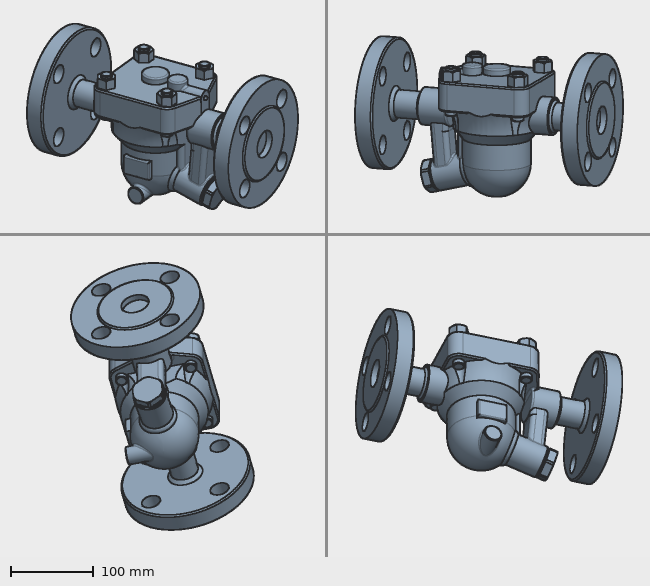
import cadquery as cq
import math

FACE_TO_FACE = 290.0
HALF_LENGTH = FACE_TO_FACE / 2
BODY_X = -10.0

FLANGE_RADIUS = 80.0
FLANGE_BACK_X = 121.0
FLANGE_CHAMFER = 2.0
RAISED_FACE_HEIGHT = 2.0
RAISED_FACE_RADIUS = 45.3
BORE_DIAMETER = 34.0
BORE_DEPTH = 8.0
BOLT_CIRCLE_DIAMETER = 120.0
BOLT_HOLE_DIAMETER = 23.0
HUB_LENGTH = 4.5

PIPE_RADIUS = 17.0
PORT_RADIUS = 23.0
PORT_END_X = 84.0
WELD_LENGTH = 3.0
PORT_SHOULDER_RADIUS = 20.0
PORT_CHAMFER = 0.7
OUTLET_INNER_X = 47.5
OUTLET_RIM_RADIUS = 2.3
OUTLET_PLATE_FILLET = 3.0

STUD_HALF_SPACING = 43.0
PLATE_CORNER_RADIUS = 14.8
PLATE_TIP_X = 60.5
PLATE_TIP_HALF_WIDTH = 9.0
PLATE_BOTTOM_Z = 8.0
PLATE_TOP_Z = 44.7
PLATE_CHAMFER = 2.0

STUD_DIAMETER = 14.0
STUD_TOP_Z = 61.0
STUD_BOTTOM_Z = 1.3
STUD_CHAMFER = 1.0
NUT_ACROSS_FLATS = 21.0
NUT_HEIGHT = 12.7
NUT_CHAMFER = 1.2
STUD_POCKET_RADIUS = 8.5

BOWL_RADIUS = 41.5
BOWL_CENTRE_Z = -63.0
CONE_BOTTOM_Z = -32.3
NECK_BOTTOM_Z = -18.5
NECK_BOTTOM_RADIUS = 53.0
NECK_MIDDLE_Z = -5.0
NECK_MIDDLE_RADIUS = 54.3
NECK_TOP_Z = 10.5
NECK_TOP_RADIUS = 59.8
RIB_FACE_X = 36.6
RIB_HALF_WIDTH = 14.0
RIB_CORNER_RADIUS = 6.0
RIB_FOOT_FILLET = 2.0

PAD_WIDTH = 36.0
PAD_HEIGHT = 24.0
PAD_CENTRE_Z = -54.5
PAD_FACE_Y = -44.3
PAD_EDGE_RADIUS = 1.5

DRAIN_RADIUS = 11.0
DRAIN_Z = -91.0
DRAIN_FACE_Y = -46.0
DRAIN_CHAMFER = 1.0
DRAIN_FILLET = 2.5

SOCKET_SLOPE = 15.0
SOCKET_RADIUS = 20.0
SOCKET_LENGTH = 80.5
SOCKET_CHAMFER = 1.5
SOCKET_BLEND_RADIUS = 7.0
GASKET_RADIUS = 17.5
PLUG_START = 82.0
PLUG_END = 92.6
PLUG_ACROSS_FLATS = 36.0
PLUG_TRIM_RADIUS = 20.0
PLUG_CHAMFER = 1.0

DUCT_SLOPE = 5.0
DUCT_WIDTH = 22.0
DUCT_DEPTH = 33.0
DUCT_CORNER_RADIUS = 6.0
DUCT_BOTTOM_X = 55.0
DUCT_BOTTOM_Z = -75.0
DUCT_LENGTH = 65.0
DUCT_BEND_Z = -26.0
DUCT_FILLET = 2.0
SOCKET_CREST_Z = -56.0

COVER_BOSS_X = 21.5
COVER_BOSS_RADIUS = 12.0
BOSS_TOP_Z = 56.2
BOSS_EDGE_RADIUS = 2.0
ARM_RADIUS = 9.5
ARM_AXIS_Z = 39.9
ARM_TIP_RADIUS = 2.9
ARM_FILLET = 3.0

CAP_RADIUS = 16.5
CAP_BOTTOM_Z = 47.4
CAP_EDGE_RADIUS = 2.0

INSIDE = 1.0


def pipe_end():
    """Flange, hub, pipe and port on the +X side, as one revolved solid about X."""
    face_x = HALF_LENGTH - RAISED_FACE_HEIGHT
    weld_x = PORT_END_X + WELD_LENGTH
    profile = [
        (OUTLET_INNER_X, 0),
        (OUTLET_INNER_X, PORT_RADIUS),
        (PORT_END_X - PORT_CHAMFER, PORT_RADIUS),
        (PORT_END_X, PORT_RADIUS - PORT_CHAMFER),
        (PORT_END_X, PORT_SHOULDER_RADIUS),
        (weld_x, PIPE_RADIUS),
        (FLANGE_BACK_X - HUB_LENGTH, PIPE_RADIUS),
        (FLANGE_BACK_X, PIPE_RADIUS + HUB_LENGTH),
        (FLANGE_BACK_X, FLANGE_RADIUS - FLANGE_CHAMFER),
        (FLANGE_BACK_X + FLANGE_CHAMFER, FLANGE_RADIUS),
        (face_x, FLANGE_RADIUS),
        (face_x, RAISED_FACE_RADIUS + RAISED_FACE_HEIGHT),
        (HALF_LENGTH, RAISED_FACE_RADIUS),
        (HALF_LENGTH, 0),
    ]
    end = cq.Workplane("XY").polyline(profile).close().revolve(360, (0, 0, 0), (1, 0, 0))
    end = end.faces("<X").edges().fillet(OUTLET_RIM_RADIUS)
    bore = (
        cq.Workplane("YZ", origin=(HALF_LENGTH, 0, 0))
        .circle(BORE_DIAMETER / 2)
        .extrude(-BORE_DEPTH)
    )
    bolt_spacing = BOLT_CIRCLE_DIAMETER / math.sqrt(2)
    bolt_holes = (
        cq.Workplane("YZ", origin=(FLANGE_BACK_X - INSIDE, 0, 0))
        .rect(bolt_spacing, bolt_spacing, forConstruction=True)
        .vertices()
        .circle(BOLT_HOLE_DIAMETER / 2)
        .extrude(HALF_LENGTH - FLANGE_BACK_X)
    )
    return end.cut(bore).cut(bolt_holes)


def plate():
    """Cover and body flange: rounded square whose +X side tapers to a narrow tip."""
    r = PLATE_CORNER_RADIUS
    half = STUD_HALF_SPACING
    side_y = half + r
    left_x = BODY_X - half - r
    corner_x = BODY_X + half
    to_tip_x = PLATE_TIP_X - corner_x
    to_tip_y = PLATE_TIP_HALF_WIDTH - half
    tangent = math.atan2(to_tip_y, to_tip_x) + math.acos(r / math.hypot(to_tip_x, to_tip_y))
    middle = (tangent + math.pi / 2) / 2

    def corner_arc(angle, side):
        return (corner_x + r * math.cos(angle), side * (half + r * math.sin(angle)))

    outline = (
        cq.Workplane("XY", origin=(0, 0, PLATE_BOTTOM_Z))
        .moveTo(left_x + r, -side_y)
        .lineTo(corner_x, -side_y)
        .threePointArc(corner_arc(middle, -1), corner_arc(tangent, -1))
        .lineTo(PLATE_TIP_X, -PLATE_TIP_HALF_WIDTH)
        .lineTo(PLATE_TIP_X, PLATE_TIP_HALF_WIDTH)
        .lineTo(*corner_arc(tangent, 1))
        .threePointArc(corner_arc(middle, 1), corner_arc(math.pi / 2, 1))
        .lineTo(left_x + r, side_y)
        .radiusArc((left_x, half), -r)
        .lineTo(left_x, -half)
        .radiusArc((left_x + r, -side_y), -r)
        .close()
    )
    block = outline.extrude(PLATE_TOP_Z - PLATE_BOTTOM_Z)
    return block.faces("|Z").chamfer(PLATE_CHAMFER)


def stud_positions():
    """Stud centres in order around the body, so that neighbours alternate."""
    corners = [(-1, -1), (1, -1), (1, 1), (-1, 1)]
    return [(BODY_X + sx * STUD_HALF_SPACING, sy * STUD_HALF_SPACING) for sx, sy in corners]


def hexagon(across_flats, length, trim_radius, chamfer):
    """Hexagon prism along Z with two corners on X, its far end chamfered by a turned cone."""
    corners = across_flats / math.cos(math.pi / 6)
    prism = cq.Workplane("XY").polygon(6, corners).extrude(length)
    turned = cq.Workplane("XY").circle(trim_radius).extrude(length).faces(">Z").chamfer(chamfer)
    return prism.intersect(turned)


def stud_with_nut(x, y, turn):
    """Stud through the plate with its nut turned by the given angle."""
    stud = (
        cq.Workplane("XY", origin=(x, y, STUD_BOTTOM_Z))
        .circle(STUD_DIAMETER / 2)
        .extrude(STUD_TOP_Z - STUD_BOTTOM_Z)
        .faces("|Z")
        .chamfer(STUD_CHAMFER)
    )
    corner_radius = NUT_ACROSS_FLATS / 2 / math.cos(math.pi / 6)
    nut = hexagon(NUT_ACROSS_FLATS, NUT_HEIGHT, corner_radius, NUT_CHAMFER)
    nut = nut.rotate((0, 0, 0), (0, 0, 1), turn).translate((x, y, PLATE_TOP_Z))
    return stud.union(nut)


def bowl():
    """Domed bowl, cone and flared neck turned about the body axis, cut flat on the +X side."""
    turned = (
        cq.Workplane("XZ", origin=(BODY_X, 0, 0))
        .moveTo(0, BOWL_CENTRE_Z - BOWL_RADIUS)
        .radiusArc((BOWL_RADIUS, BOWL_CENTRE_Z), -BOWL_RADIUS)
        .lineTo(BOWL_RADIUS, CONE_BOTTOM_Z)
        .lineTo(NECK_BOTTOM_RADIUS, NECK_BOTTOM_Z)
        .threePointArc((NECK_MIDDLE_RADIUS, NECK_MIDDLE_Z), (NECK_TOP_RADIUS, NECK_TOP_Z))
        .lineTo(0, NECK_TOP_Z)
        .close()
        .revolve(360, (0, 0, 0), (0, 1, 0))
    )
    reach = NECK_TOP_RADIUS
    side_height = NECK_TOP_Z - BOWL_CENTRE_Z
    relief = cq.Workplane("XY").box(reach, 2 * reach, side_height, centered=(False, True, False))
    turned = turned.cut(relief.translate((RIB_FACE_X, 0, BOWL_CENTRE_Z)))
    side = STUD_HALF_SPACING + PLATE_CORNER_RADIUS
    envelope = cq.Workplane("XY").box(4 * reach, 2 * side, 4 * reach)
    turned = turned.intersect(envelope)
    pockets = (
        cq.Workplane("XY", origin=(0, 0, NECK_BOTTOM_Z))
        .pushPoints(stud_positions())
        .circle(STUD_POCKET_RADIUS)
        .extrude(PLATE_BOTTOM_Z - NECK_BOTTOM_Z)
    )
    return turned.cut(pockets)


def rib():
    """Rounded rib on the +X side, from the plate down to the strainer socket."""
    length_x = RIB_FACE_X - BODY_X
    height = PLATE_BOTTOM_Z + INSIDE - BOWL_CENTRE_Z
    return (
        cq.Workplane("XY", origin=(BODY_X, 0, BOWL_CENTRE_Z))
        .box(length_x, 2 * RIB_HALF_WIDTH, height, centered=(False, True, False))
        .edges("|Z and >X")
        .fillet(RIB_CORNER_RADIUS)
    )


def name_pad():
    """Flat rectangular pad on the -Y side of the bowl."""
    return (
        cq.Workplane("XZ", origin=(BODY_X, 0, PAD_CENTRE_Z))
        .rect(PAD_WIDTH, PAD_HEIGHT)
        .extrude(-PAD_FACE_Y)
        .faces("<Y")
        .edges()
        .fillet(PAD_EDGE_RADIUS)
    )


def drain_boss():
    """Round boss pointing to -Y, low on the dome."""
    return (
        cq.Workplane("XZ", origin=(BODY_X, 0, DRAIN_Z))
        .circle(DRAIN_RADIUS)
        .extrude(-DRAIN_FACE_Y)
        .faces("<Y")
        .chamfer(DRAIN_CHAMFER)
    )


def along_socket(shape):
    """Turn a shape built along +Z from the origin onto the strainer axis."""
    sloped = shape.rotate((0, 0, 0), (0, 1, 0), 90 + SOCKET_SLOPE)
    return sloped.translate((BODY_X, 0, BOWL_CENTRE_Z))


def strainer_socket():
    """Socket that leaves the round bowl through a blend tangent to both."""
    blend_axis_radius = SOCKET_RADIUS + SOCKET_BLEND_RADIUS
    blend_reach = BOWL_RADIUS + SOCKET_BLEND_RADIUS
    blend_end = math.sqrt(blend_reach**2 - blend_axis_radius**2)
    shrink = BOWL_RADIUS / blend_reach
    socket = (
        cq.Workplane("XZ")
        .moveTo(0, 0)
        .lineTo(blend_axis_radius * shrink, blend_end * shrink)
        .radiusArc((SOCKET_RADIUS, blend_end), -SOCKET_BLEND_RADIUS)
        .lineTo(SOCKET_RADIUS, SOCKET_LENGTH - SOCKET_CHAMFER)
        .lineTo(SOCKET_RADIUS - SOCKET_CHAMFER, SOCKET_LENGTH)
        .lineTo(GASKET_RADIUS, SOCKET_LENGTH)
        .lineTo(GASKET_RADIUS, PLUG_START + INSIDE)
        .lineTo(0, PLUG_START + INSIDE)
        .close()
        .revolve(360, (0, 0, 0), (0, 1, 0))
    )
    plug = hexagon(PLUG_ACROSS_FLATS, PLUG_END - PLUG_START, PLUG_TRIM_RADIUS, PLUG_CHAMFER)
    return along_socket(socket.union(plug.translate((0, 0, PLUG_START))))


def outlet_duct():
    """Rounded rectangular passage that leans toward +X as it rises."""
    duct = (
        cq.Workplane("XY")
        .rect(DUCT_WIDTH, DUCT_DEPTH)
        .extrude(DUCT_LENGTH)
        .edges("|Z")
        .fillet(DUCT_CORNER_RADIUS)
    )
    duct = duct.rotate((0, 0, 0), (0, 1, 0), DUCT_SLOPE)
    duct = duct.translate((DUCT_BOTTOM_X, 0, DUCT_BOTTOM_Z))
    bend_rise = DUCT_BEND_Z - DUCT_BOTTOM_Z
    slope = math.radians(DUCT_SLOPE)
    bend_x = DUCT_BOTTOM_X + bend_rise * math.tan(slope) - DUCT_WIDTH / 2 / math.cos(slope)
    upright = (
        cq.Workplane("XY", origin=(bend_x, 0, DUCT_BEND_Z))
        .box(DUCT_WIDTH / 2, DUCT_DEPTH, -DUCT_BEND_Z, centered=(False, True, False))
        .edges("|Z and <X")
        .fillet(DUCT_CORNER_RADIUS)
    )
    return duct.union(upright)


def cover_boss():
    """Round boss on the cover with a half-sunk arm running to the plate tip."""
    boss = (
        cq.Workplane("XY", origin=(COVER_BOSS_X, 0, PLATE_TOP_Z - INSIDE))
        .circle(COVER_BOSS_RADIUS)
        .extrude(BOSS_TOP_Z - PLATE_TOP_Z + INSIDE)
        .faces(">Z")
        .edges()
        .fillet(BOSS_EDGE_RADIUS)
    )
    arm = (
        cq.Workplane("YZ", origin=(COVER_BOSS_X, 0, ARM_AXIS_Z))
        .circle(ARM_RADIUS)
        .extrude(PLATE_TIP_X - COVER_BOSS_X)
    )
    tip = cq.Workplane("XY").sphere(ARM_TIP_RADIUS).translate((PLATE_TIP_X, 0, ARM_AXIS_Z))
    joint = cq.selectors.BoxSelector(
        (COVER_BOSS_X, -ARM_RADIUS, PLATE_TOP_Z),
        (COVER_BOSS_X + COVER_BOSS_RADIUS + INSIDE, ARM_RADIUS, ARM_AXIS_Z + ARM_RADIUS),
    )
    return boss.union(arm).edges(joint).fillet(ARM_FILLET).union(tip)


def blended_bowl():
    """Bowl with the drain boss blended into its dome."""
    box = cq.selectors.BoxSelector(
        (BODY_X - DRAIN_RADIUS, DRAIN_FACE_Y + 2 * DRAIN_CHAMFER, DRAIN_Z - DRAIN_RADIUS),
        (BODY_X + DRAIN_RADIUS / 2, 0, DRAIN_Z + DRAIN_RADIUS),
    )
    return bowl().union(drain_boss()).edges(box).fillet(DRAIN_FILLET)


def socket_with_duct():
    """Strainer socket with the foot of the outlet duct blended into it."""
    half_width = DUCT_WIDTH / 2
    foot = cq.selectors.BoxSelector(
        (DUCT_BOTTOM_X - half_width, -DUCT_DEPTH, DUCT_BOTTOM_Z),
        (DUCT_BOTTOM_X + half_width + DUCT_FILLET, DUCT_DEPTH, SOCKET_CREST_Z),
    )
    return strainer_socket().union(outlet_duct()).edges(foot).fillet(DUCT_FILLET)


def blend_rib_foot(body):
    """Round the joint between the foot of the rib and the strainer socket."""
    foot = cq.selectors.BoxSelector(
        (RIB_FACE_X - RIB_CORNER_RADIUS - 2 * INSIDE, -RIB_HALF_WIDTH - INSIDE, BOWL_CENTRE_Z),
        (RIB_FACE_X + INSIDE, RIB_HALF_WIDTH + INSIDE, SOCKET_CREST_Z + 2 * INSIDE),
    )
    return body.edges(foot).fillet(RIB_FOOT_FILLET)


def blend_outlet_to_plate(body):
    """Round the corner between the plate underside and the inner end of the outlet port."""
    corner = cq.selectors.BoxSelector(
        (OUTLET_INNER_X - INSIDE, -INSIDE, PLATE_BOTTOM_Z - INSIDE),
        (OUTLET_INNER_X + INSIDE, INSIDE, PLATE_BOTTOM_Z + INSIDE),
    )
    return body.edges(corner).fillet(OUTLET_PLATE_FILLET)


def trap_body():
    """The whole trap as one solid: bowl, plate, pipe ends, socket, studs and nuts."""
    inlet_port = (
        cq.Workplane("YZ", origin=(-OUTLET_INNER_X, 0, 0))
        .circle(PORT_RADIUS)
        .extrude(OUTLET_INNER_X + BODY_X)
    )
    body = blended_bowl().union(inlet_port).union(rib()).union(name_pad())
    body = blend_rib_foot(body.union(socket_with_duct()))
    outlet = pipe_end()
    body = body.union(plate()).union(outlet).union(outlet.mirror("YZ"))
    body = blend_outlet_to_plate(body)
    body = body.union(cover_boss())
    for number, position in enumerate(stud_positions()):
        body = body.union(stud_with_nut(*position, 90 * (number % 2)))
    return body


def cap_disc():
    """Round disc on the body axis, clear of the cover below it."""
    return (
        cq.Workplane("XY", origin=(BODY_X, 0, CAP_BOTTOM_Z))
        .circle(CAP_RADIUS)
        .extrude(BOSS_TOP_Z - CAP_BOTTOM_Z)
        .faces(">Z")
        .edges()
        .fillet(CAP_EDGE_RADIUS)
    )


trap = trap_body()
cap = cap_disc()
result = cq.Compound.makeCompound([trap.val(), cap.val()])